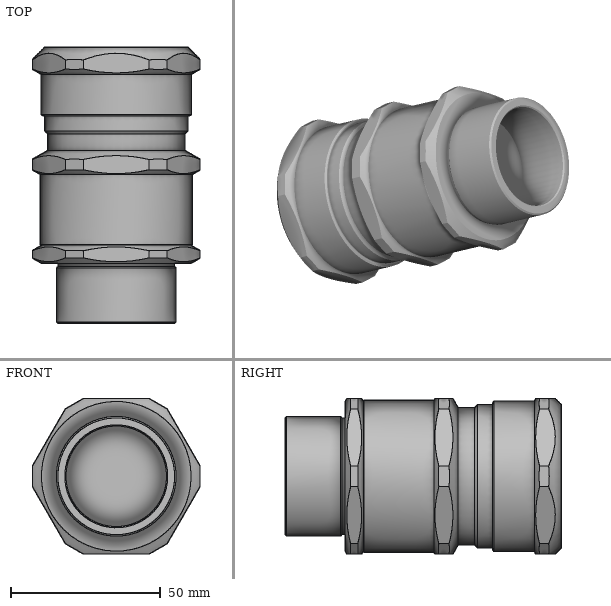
import cadquery as cq
import math

TOTAL_LENGTH = 92.22

ACROSS_FLATS = 52.0
ACROSS_CORNERS = 56.04
HEX_HALF_ANGLE = 30
CHAMFER_SLOPE = math.tan(math.radians(30))

SPIGOT_RADIUS = 40.0 / 2
UNDERCUT_RADIUS = 39.0 / 2
BORE_RADIUS = 33.6 / 2
SPIGOT_LENGTH = 18.5
UNDERCUT_TAPER = SPIGOT_RADIUS - UNDERCUT_RADIUS
SPIGOT_CHAMFER = 0.5
BORE_CHAMFER = 0.4
BORE_DEPTH = SPIGOT_LENGTH

BODY_RADIUS = 50.9 / 2
BODY_END_RADIUS = 50.0 / 2
NECK_RADIUS = 46.0 / 2
STEP_RADIUS = 48.0 / 2
SLEEVE_RADIUS = 50.4 / 2
SLEEVE_END_RADIUS = 49.1 / 2
CAP_FACE_RADIUS = 48.0 / 2
CAP_FACE_SLOPE = 1.0

FRONT_HEX_START = 20.0
FRONT_HEX_END = 26.1
MIDDLE_HEX_START = 49.7
MIDDLE_HEX_END = 57.75
NECK_END = 63.3
STEP_END = 69.3
SLEEVE_HEX_START = 83.2


def turned(points):
    """Solid of revolution about Y from (radius, position) points; the axis closes the outline."""
    outline = [(0, points[0][1])] + points + [(0, points[-1][1])]
    return cq.Workplane("XY").polyline(outline).close().revolve(360, (0, 0, 0), (0, 1, 0))


def circumscribed_diameter(across_flats):
    """Diameter through the sharp corners of a hexagon."""
    return across_flats / math.cos(math.radians(HEX_HALF_ANGLE))


def hexagonal_prism(across_flats, start, end):
    """Sharp-cornered hexagonal bar along Y with two corners on the X axis."""
    plane = cq.Workplane("XZ", origin=(0, start, 0))
    return plane.polygon(6, circumscribed_diameter(across_flats)).extrude(start - end)


def hexagon(start, end, start_radius, end_radius, end_slope=CHAMFER_SLOPE):
    """Hexagonal collar whose ends are chamfered by cones starting at the given radii."""
    prism = hexagonal_prism(ACROSS_FLATS, start, end)
    corner_cut = hexagonal_prism(ACROSS_CORNERS, start, end).rotate((0, 0, 0), (0, 1, 0), HEX_HALF_ANGLE)
    rim = circumscribed_diameter(ACROSS_FLATS) / 2
    envelope = turned([
        (start_radius, start),
        (rim, start + (rim - start_radius) * CHAMFER_SLOPE),
        (rim, end - (rim - end_radius) * end_slope),
        (end_radius, end),
    ])
    return prism.intersect(corner_cut).intersect(envelope)


def spigot():
    taper_end = SPIGOT_LENGTH + UNDERCUT_TAPER
    return turned([
        (SPIGOT_RADIUS - SPIGOT_CHAMFER, 0),
        (SPIGOT_RADIUS, SPIGOT_CHAMFER),
        (SPIGOT_RADIUS, SPIGOT_LENGTH),
        (UNDERCUT_RADIUS, taper_end),
        (UNDERCUT_RADIUS, FRONT_HEX_START),
    ])


def body():
    chamfer = (BODY_RADIUS - BODY_END_RADIUS) * CHAMFER_SLOPE
    return turned([
        (BODY_END_RADIUS, FRONT_HEX_END),
        (BODY_RADIUS, FRONT_HEX_END + chamfer),
        (BODY_RADIUS, MIDDLE_HEX_START),
    ])


def neck_and_sleeve():
    step_chamfer = STEP_RADIUS - NECK_RADIUS
    sleeve_chamfer = (SLEEVE_RADIUS - SLEEVE_END_RADIUS) * CHAMFER_SLOPE
    return turned([
        (NECK_RADIUS, MIDDLE_HEX_END),
        (NECK_RADIUS, NECK_END),
        (STEP_RADIUS, NECK_END + step_chamfer),
        (STEP_RADIUS, STEP_END),
        (SLEEVE_END_RADIUS, STEP_END),
        (SLEEVE_RADIUS, STEP_END + sleeve_chamfer),
        (SLEEVE_RADIUS, SLEEVE_HEX_START),
    ])


def bore():
    return turned([
        (BORE_RADIUS + BORE_CHAMFER, 0),
        (BORE_RADIUS, BORE_CHAMFER),
        (BORE_RADIUS, BORE_DEPTH),
    ])


front_hex = hexagon(FRONT_HEX_START, FRONT_HEX_END, BODY_END_RADIUS, BODY_END_RADIUS)
middle_hex = hexagon(MIDDLE_HEX_START, MIDDLE_HEX_END, BODY_RADIUS, NECK_RADIUS)
cap_hex = hexagon(SLEEVE_HEX_START, TOTAL_LENGTH, SLEEVE_RADIUS, CAP_FACE_RADIUS, CAP_FACE_SLOPE)

result = (
    spigot()
    .union(front_hex)
    .union(body())
    .union(middle_hex)
    .union(neck_and_sleeve())
    .union(cap_hex)
    .cut(bore())
)